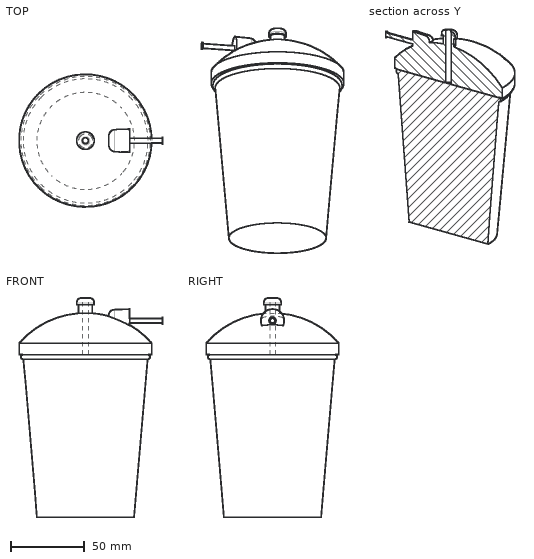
import cadquery as cq
import math

cup_base_radius = 33.0
cup_height = 110.2
bead_height = 3.2
bead_radius = 43.8
cup_neck_radius = bead_radius - bead_height / 2

rim_radius = 45.0
rim_height = 7.8
dome_rise = 20.5
rim_top = cup_height + rim_height
dome_top = rim_top + dome_rise
dome_sphere_radius = (rim_radius**2 + dome_rise**2) / (2 * dome_rise)

total_height = 148.66
neck_diameter = 9.53
head_diameter = 11.92
head_height = 4.76
head_round = 3.175
spout_bore_diameter = 3.97

housing_start = 15.7
housing_end = 30.0
housing_axis_height = 133.2
housing_end_radius = 7.94
housing_draft = 2.0
housing_round = 4.0

rod_tip = 52.5
rod_diameter = 3.29
disc_diameter = 4.76
disc_thickness = 0.4


def make_cup():
    """Revolve the tapered wall, the half-round bead and the flat top around Z."""
    bead_bottom = cup_height - bead_height
    return (
        cq.Workplane("XZ")
        .lineTo(cup_base_radius, 0)
        .lineTo(cup_neck_radius, bead_bottom)
        .threePointArc(
            (bead_radius, bead_bottom + bead_height / 2),
            (cup_neck_radius, cup_height),
        )
        .lineTo(0, cup_height)
        .close()
        .revolve(360, (0, 0, 0), (0, 1, 0))
    )


def make_dome():
    """Revolve the rim and the spherical dome above it around Z."""
    half_angle = math.asin(rim_radius / dome_sphere_radius) / 2
    sphere_center_height = dome_top - dome_sphere_radius
    arc_middle = (
        dome_sphere_radius * math.sin(half_angle),
        sphere_center_height + dome_sphere_radius * math.cos(half_angle),
    )
    return (
        cq.Workplane("XZ")
        .moveTo(0, cup_height)
        .lineTo(rim_radius, cup_height)
        .lineTo(rim_radius, rim_top)
        .threePointArc(arc_middle, (0, dome_top))
        .close()
        .revolve(360, (0, 0, 0), (0, 1, 0))
    )


def make_spout():
    """Neck rising out of the dome, topped by the rounded head."""
    head_bottom = total_height - head_height
    neck = (
        cq.Workplane("XY", origin=(0, 0, rim_top))
        .circle(neck_diameter / 2)
        .extrude(head_bottom - rim_top)
    )
    head = (
        cq.Workplane("XY", origin=(0, 0, head_bottom))
        .circle(head_diameter / 2)
        .extrude(head_height)
        .faces(">Z")
        .edges()
        .fillet(head_round)
    )
    return neck.union(head)


def make_housing():
    """Drafted boss along X, narrowing toward its rounded inner end."""
    return (
        cq.Workplane("YZ", origin=(housing_end, 0, housing_axis_height))
        .circle(housing_end_radius)
        .extrude(housing_start - housing_end, taper=housing_draft)
        .faces("<X")
        .edges()
        .fillet(housing_round)
    )


def make_rod():
    """Stem leaving the housing along +X, with a disc on its tip."""
    stem = (
        cq.Workplane("YZ", origin=(housing_end, 0, housing_axis_height))
        .circle(rod_diameter / 2)
        .extrude(rod_tip - housing_end)
    )
    disc = (
        cq.Workplane("YZ", origin=(rod_tip, 0, housing_axis_height))
        .circle(disc_diameter / 2)
        .extrude(-disc_thickness)
    )
    return stem.union(disc)


def make_lid():
    """Join the lid features and bore the spout through to the cup."""
    lid = make_dome().union(make_spout()).union(make_housing()).union(make_rod())
    bore = (
        cq.Workplane("XY", origin=(0, 0, cup_height))
        .circle(spout_bore_diameter / 2)
        .extrude(total_height - cup_height)
    )
    return lid.cut(bore)


cup = make_cup()
lid = make_lid()

result = cq.Compound.makeCompound([cup.val(), lid.val()])